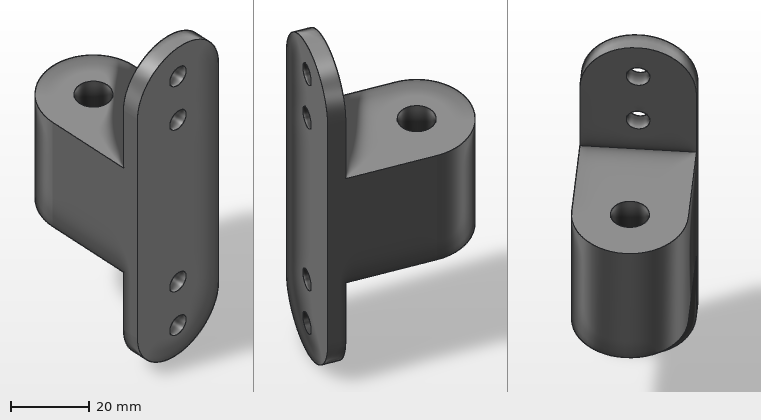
import cadquery as cq

plate_length = 106.0
width = 30.0
depth = 45.0
plate_thickness = 5.0
block_height = 36.0
pin_hole_diameter = 10.0
screw_hole_diameter = 6.0
outer_screw_inset = 10.0
screw_spacing = 15.0

end_radius = width / 2
plate_back = depth - end_radius
plate_front = plate_back - plate_thickness
outer_screw_z = plate_length / 2 - outer_screw_inset
inner_screw_z = outer_screw_z - screw_spacing


def mounting_plate():
    """Upright plate with full-round ends and two screw holes at each end."""
    screw_places = [
        (0, side * height)
        for side in (-1, 1)
        for height in (inner_screw_z, outer_screw_z)
    ]
    plane = cq.Workplane("YZ", origin=(plate_front, 0, 0))
    plate = plane.slot2D(plate_length, width, 90).extrude(plate_thickness)
    holes = plane.pushPoints(screw_places).circle(screw_hole_diameter / 2).extrude(plate_thickness)
    return plate.cut(holes)


def hinge_block():
    """Block with a half-round nose and a vertical pin hole on the nose axis."""
    plane = cq.Workplane("XY", origin=(0, 0, -block_height / 2))
    return (
        plane.moveTo(plate_back, -end_radius)
        .lineTo(0, -end_radius)
        .threePointArc((-end_radius, 0), (0, end_radius))
        .lineTo(plate_back, end_radius)
        .close()
        .extrude(block_height)
        .cut(plane.circle(pin_hole_diameter / 2).extrude(block_height))
    )


result = mounting_plate().union(hinge_block())